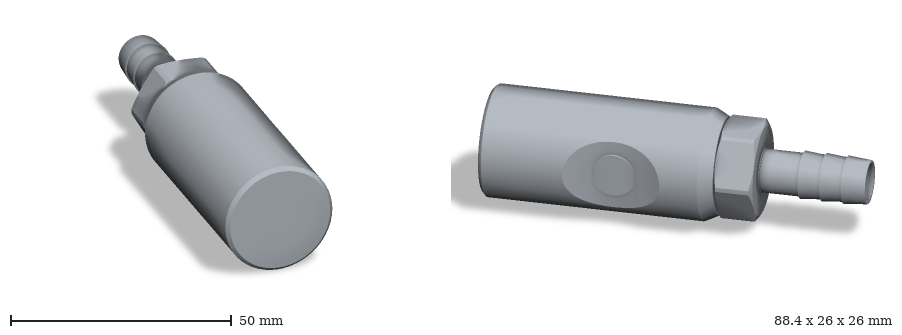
import cadquery as cq
import math

total_length = 88.4
barb_pitch = 5.0
barb_count = 3
first_barb_end = 5.5
nut_start = 24.8
nut_end = 33.95
cone_end = 37.2

stem_diameter = 10.0
barb_root_diameter = 10.2
barb_tip_diameter = 11.05
stem_lip = 0.35
collar_diameter = 10.6
collar_length = 0.3
bore_diameter = 8.0
bore_mouth_diameter = 9.0
bore_depth = nut_end

nut_across_flats = 20.95
nut_corner_diameter = 23.6
nut_face_diameter = 20.7
nut_chamfer_length = 0.7

body_diameter = 26.0
cone_start_diameter = 22.6
end_chamfer = 0.9

scoop_center_x = 57.3
scoop_chord = 22.6
scoop_depth = 3.0
button_diameter = 10.2
button_height = 0.5


def revolve_about_x(points):
    """Solid of revolution about X from an (x, radius) outline that starts and ends on the axis."""
    return cq.Workplane("XY").polyline(points).close().revolve(360, (0, 0, 0), (1, 0, 0))


def make_stem():
    root_radius = barb_root_diameter / 2
    stem_radius = stem_diameter / 2
    collar_start = nut_start - collar_length
    outline = [(0, 0), (0, stem_radius), (stem_lip, root_radius)]
    for i in range(barb_count):
        barb_end = first_barb_end + i * barb_pitch
        next_radius = root_radius if i < barb_count - 1 else stem_radius
        outline += [(barb_end, barb_tip_diameter / 2), (barb_end, next_radius)]
    outline += [
        (collar_start, stem_radius),
        (collar_start, collar_diameter / 2),
        (nut_start, collar_diameter / 2),
        (nut_start, 0),
    ]
    return revolve_about_x(outline)


def make_nut():
    """Hexagon with flats facing +Z and -Z, trimmed by a barrel that chamfers both ends."""
    hexagon = (
        cq.Workplane("YZ", origin=(nut_start, 0, 0))
        .polygon(6, nut_across_flats / math.cos(math.pi / 6))
        .extrude(nut_end - nut_start)
    )
    barrel = revolve_about_x([
        (nut_start, 0),
        (nut_start, nut_face_diameter / 2),
        (nut_start + nut_chamfer_length, nut_corner_diameter / 2),
        (nut_end - nut_chamfer_length, nut_corner_diameter / 2),
        (nut_end, nut_face_diameter / 2),
        (nut_end, 0),
    ])
    return hexagon.intersect(barrel)


def make_body():
    body_radius = body_diameter / 2
    return revolve_about_x([
        (nut_end, 0),
        (nut_end, cone_start_diameter / 2),
        (cone_end, body_radius),
        (total_length - end_chamfer, body_radius),
        (total_length, body_radius - end_chamfer),
        (total_length, 0),
    ])


def make_scoop():
    """Cylinder parallel to Z whose arc has the wanted chord and depth at the body's +Y side."""
    scoop_radius = (scoop_chord ** 2 / 4 + scoop_depth ** 2) / (2 * scoop_depth)
    scoop_center_y = body_diameter / 2 - scoop_depth + scoop_radius
    return (
        cq.Workplane("XY")
        .center(scoop_center_x, scoop_center_y)
        .circle(scoop_radius)
        .extrude(body_diameter / 2, both=True)
    )


def make_button():
    """Round button that stands on the body axis and rises just above the scoop floor."""
    button_top = body_diameter / 2 - scoop_depth + button_height
    return (
        cq.Workplane("XZ", origin=(scoop_center_x, 0, 0))
        .circle(button_diameter / 2)
        .extrude(-button_top)
    )


def make_bore():
    """Blind hose bore with a 45 degree chamfered mouth."""
    bore_radius = bore_diameter / 2
    mouth_radius = bore_mouth_diameter / 2
    return revolve_about_x([
        (0, 0),
        (0, mouth_radius),
        (mouth_radius - bore_radius, bore_radius),
        (bore_depth, bore_radius),
        (bore_depth, 0),
    ])


body = make_body().cut(make_scoop()).union(make_button())
result = make_stem().union(make_nut()).union(body).cut(make_bore())